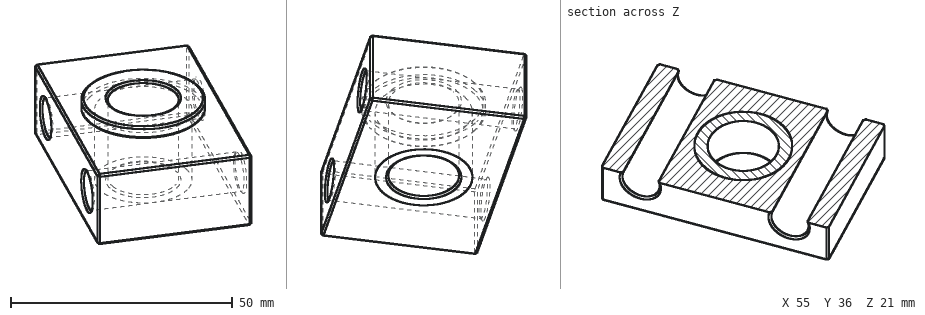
import cadquery as cq

block_length = 55.0
block_width = 36.0
block_height = 18.0
edge_chamfer = 0.5

cross_hole_diameter = 9.0
cross_hole_spacing = 36.0
cross_hole_height = block_height / 2
cross_hole_chamfer = 0.5

bore_diameter = 16.0
sleeve_diameter = 22.0
flange_diameter = 28.0
flange_thickness = 3.0
bushing_chamfer = 0.5


def make_block():
    """Chamfered block with a bushing seat along Z and two cross holes along Y."""
    block = (
        cq.Workplane("XY")
        .box(block_length, block_width, block_height, centered=(True, True, False))
        .edges()
        .chamfer(edge_chamfer)
    )
    seat = cq.Workplane("XY").circle(sleeve_diameter / 2).extrude(block_height)
    block = block.cut(seat)
    for side in (-1, 1):
        block = block.cut(make_cross_hole_cutter(side * cross_hole_spacing / 2))
    return block


def make_cross_hole_cutter(x_position):
    """Round cutter along Y that flares to a chamfer at both block faces."""
    radius = cross_hole_diameter / 2
    mouth_radius = radius + cross_hole_chamfer
    half_width = block_width / 2
    profile = [
        (0, -half_width),
        (mouth_radius, -half_width),
        (radius, -half_width + cross_hole_chamfer),
        (radius, half_width - cross_hole_chamfer),
        (mouth_radius, half_width),
        (0, half_width),
    ]
    cutter = cq.Workplane("XY").polyline(profile).close().revolve(360, (0, 0, 0), (0, 1, 0))
    return cutter.translate((x_position, 0, cross_hole_height))


def make_bushing():
    """Flanged sleeve whose bore runs through the full height, flush with the block bottom."""
    sleeve = cq.Workplane("XY").circle(sleeve_diameter / 2).extrude(block_height)
    flange = (
        cq.Workplane("XY")
        .workplane(offset=block_height)
        .circle(flange_diameter / 2)
        .extrude(flange_thickness)
        .faces(">Z or <Z")
        .edges()
        .chamfer(bushing_chamfer)
    )
    bore = cq.Workplane("XY").circle(bore_diameter / 2).extrude(block_height + flange_thickness)
    bushing = sleeve.union(flange).cut(bore)
    return bushing.edges(cq.selectors.RadiusNthSelector(0)).chamfer(bushing_chamfer)


block = make_block()
bushing = make_bushing()

result = cq.Compound.makeCompound([block.val(), bushing.val()])